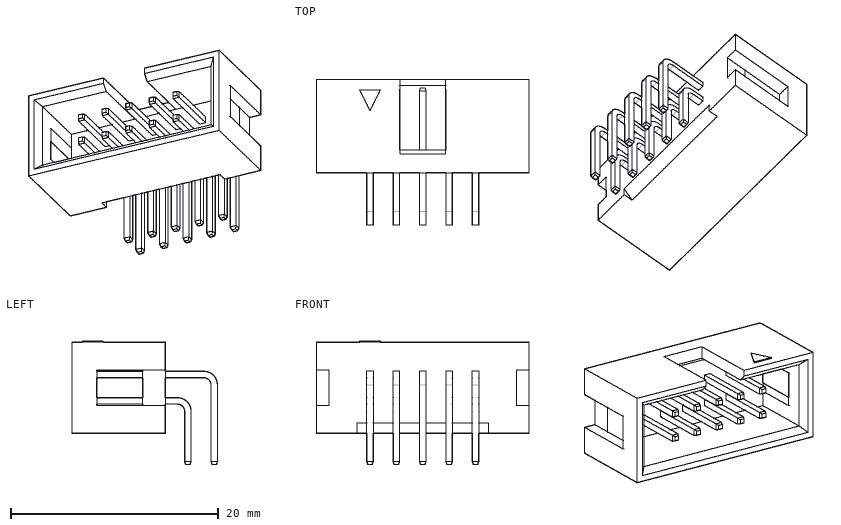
import cadquery as cq


BODY_LENGTH = 20.5
BODY_DEPTH = 9.0
BODY_HEIGHT = 8.8
CAVITY_FLOOR_Y = 2.2
SIDE_WALL = 1.2
TOP_WALL = 1.2
MOUTH_CHAMFER = 0.6

KEY_WIDTH = 4.4
KEY_START_Y = 1.8
WINDOW_END_Y = 6.6
WINDOW_HEIGHT = 3.4
UNDERCUT = 1.0

MARK_SIZE = 2.0
MARK_HEIGHT = 0.1
MARK_BASE_Y = 8.0

PITCH = 2.54
COLUMNS = 5
PIN_WIDTH = 0.64
BEND_RADIUS = 1.0
PIN_MATING_Y = 8.2
PIN_BOTTOM_Z = -3.0
TIP_LENGTH = 0.3
TIP_INSET = 0.1
UPPER_LEG_Y = -4.7
LOWER_LEG_Y = UPPER_LEG_Y + PITCH

MID_Z = BODY_HEIGHT / 2
UPPER_ROW_Z = MID_Z + PITCH / 2
LOWER_ROW_Z = MID_Z - PITCH / 2
COLUMN_XS = [(column - (COLUMNS - 1) / 2) * PITCH for column in range(COLUMNS)]


def block(x_range, y_range, z_range):
    """Box spanning the given (low, high) range along each axis."""
    ranges = (x_range, y_range, z_range)
    sizes = [high - low for low, high in ranges]
    corner = tuple(low for low, high in ranges)
    return cq.Workplane("XY").box(*sizes, centered=False).translate(corner)


def make_cavity():
    """Mating cavity, flared by the chamfer around its mouth."""
    width = BODY_LENGTH - 2 * SIDE_WALL
    height = BODY_HEIGHT - 2 * TOP_WALL
    straight = block(
        (-width / 2, width / 2),
        (CAVITY_FLOOR_Y, BODY_DEPTH),
        (TOP_WALL, BODY_HEIGHT - TOP_WALL),
    )
    flare = (
        cq.Workplane("XZ", origin=(0, BODY_DEPTH, MID_Z))
        .rect(width + 2 * MOUTH_CHAMFER, height + 2 * MOUTH_CHAMFER)
        .workplane(offset=MOUTH_CHAMFER)
        .rect(width, height)
        .loft(ruled=True)
    )
    return straight.union(flare)


def make_key_slot():
    """Polarising slot through the top wall, open at the mating side."""
    return block(
        (-KEY_WIDTH / 2, KEY_WIDTH / 2),
        (KEY_START_Y, BODY_DEPTH),
        (BODY_HEIGHT - TOP_WALL, BODY_HEIGHT),
    )


def make_side_window(side):
    """Opening through one side wall that runs on as a notch to the back wall."""
    outer_x = side * BODY_LENGTH / 2
    inner_x = outer_x - side * SIDE_WALL
    return block(
        (min(outer_x, inner_x), max(outer_x, inner_x)),
        (0, WINDOW_END_Y),
        (MID_Z - WINDOW_HEIGHT / 2, MID_Z + WINDOW_HEIGHT / 2),
    )


def make_undercut():
    """45 degree wedge cut from the lower back edge, one pitch wide per column."""
    width = COLUMNS * PITCH
    return (
        cq.Workplane("YZ", origin=(-width / 2, 0, 0))
        .polyline([(0, 0), (UNDERCUT, 0), (0, UNDERCUT)])
        .close()
        .extrude(width)
    )


def make_pin_one_mark():
    """Raised triangle on the top face, pointing back at the first column."""
    center_x = COLUMN_XS[0]
    return (
        cq.Workplane("XY", origin=(center_x, MARK_BASE_Y, BODY_HEIGHT))
        .polyline([(-MARK_SIZE / 2, 0), (MARK_SIZE / 2, 0), (0, -MARK_SIZE)])
        .close()
        .extrude(MARK_HEIGHT)
    )


def make_tip(plane):
    """Tapered pin end growing along the normal of the given plane."""
    end_width = PIN_WIDTH - 2 * TIP_INSET
    return (
        cq.Workplane(plane)
        .rect(PIN_WIDTH, PIN_WIDTH)
        .workplane(offset=TIP_LENGTH)
        .rect(end_width, end_width)
        .loft(ruled=True)
    )


def make_pin(x, row_z, leg_y):
    """Square pin: straight along Y at row_z, then bent down into a leg at leg_y."""
    mating_start = (x, PIN_MATING_Y - TIP_LENGTH, row_z)
    leg_end = (x, leg_y, PIN_BOTTOM_Z + TIP_LENGTH)
    path = (
        cq.Workplane("YZ", origin=(x, 0, 0))
        .moveTo(mating_start[1], row_z)
        .lineTo(leg_y + BEND_RADIUS, row_z)
        .tangentArcPoint((leg_y, row_z - BEND_RADIUS), relative=False)
        .lineTo(leg_y, leg_end[2])
    )
    shaft = cq.Workplane("XZ", origin=mating_start).rect(PIN_WIDTH, PIN_WIDTH).sweep(path)
    mating_tip = make_tip(cq.Plane(mating_start, xDir=(1, 0, 0), normal=(0, 1, 0)))
    leg_tip = make_tip(cq.Plane(leg_end, xDir=(1, 0, 0), normal=(0, 0, -1)))
    return shaft.union(mating_tip).union(leg_tip)


def make_housing():
    """Housing with all its openings and the pin 1 mark."""
    body = block((-BODY_LENGTH / 2, BODY_LENGTH / 2), (0, BODY_DEPTH), (0, BODY_HEIGHT))
    body = body.cut(make_cavity()).cut(make_key_slot()).cut(make_undercut())
    for side in (-1, 1):
        body = body.cut(make_side_window(side))
    return body.union(make_pin_one_mark())


result = make_housing()
for column_x in COLUMN_XS:
    result = result.union(make_pin(column_x, UPPER_ROW_Z, UPPER_LEG_Y))
    result = result.union(make_pin(column_x, LOWER_ROW_Z, LOWER_LEG_Y))